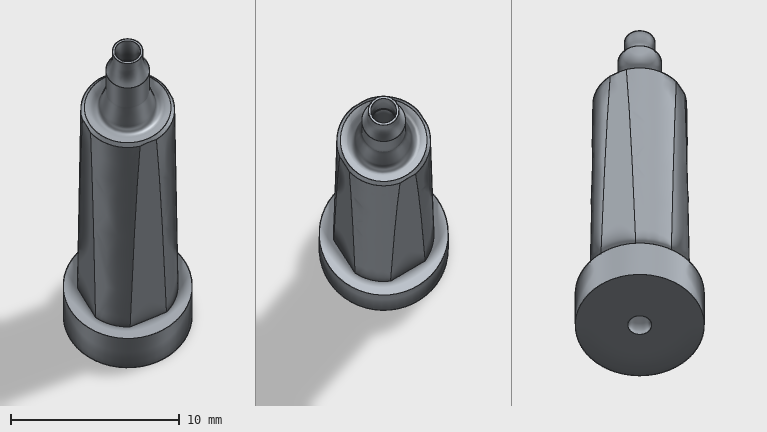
import cadquery as cq
import math

flange_diameter = 7.65
flange_height = 3.0

body_width = 5.45
flat_base_width = 2.4
flat_top_width = 1.08
body_top = 21.05
shoulder_top = 21.25
shoulder_radius = 2.56

neck_diameter = 2.6
neck_bottom = 23.0
neck_top = 25.05
cone_foot_radius = 1.67
cone_foot_height = 21.63

tip_diameter = 1.8
tip_bottom = 26.27
total_height = 27.0
bore_diameter = 1.4
mouth_diameter = 1.5
mouth_depth = total_height - neck_top


def radius_at_flat_edge(flat_width):
    """Radius of the round section whose flats have this width."""
    return math.hypot(body_width / 2, flat_width / 2)


def make_tapered_body():
    """Round body tapering upward, before the flats are cut."""
    return (
        cq.Workplane("XY", origin=(0, 0, flange_height))
        .circle(radius_at_flat_edge(flat_base_width))
        .workplane(offset=body_top - flange_height)
        .circle(radius_at_flat_edge(flat_top_width))
        .loft()
    )


def make_nozzle():
    """Revolved shoulder, blended neck and tip."""
    neck_radius = neck_diameter / 2
    tip_radius = tip_diameter / 2
    cone_run = cone_foot_radius - neck_radius
    cone_drop = neck_bottom - cone_foot_height
    cone_length = math.hypot(cone_run, cone_drop)

    tangent_length = (cone_foot_height - shoulder_top) * cone_length / cone_drop
    fillet_end_radius = cone_foot_radius + tangent_length * (1 + cone_run / cone_length)

    flare_height = tip_bottom - neck_top
    flare_run = neck_radius - tip_radius
    flare_radius = (flare_height**2 + flare_run**2) / (2 * flare_run)
    half_angle = math.atan2(flare_run, flare_height)
    flare_middle = (
        tip_radius + flare_radius * (1 - math.cos(half_angle)),
        tip_bottom - flare_radius * math.sin(half_angle),
    )

    return (
        cq.Workplane("XZ")
        .moveTo(0, body_top)
        .lineTo(radius_at_flat_edge(flat_top_width), body_top)
        .lineTo(shoulder_radius, shoulder_top)
        .lineTo(fillet_end_radius, shoulder_top)
        .tangentArcPoint((cone_foot_radius, cone_foot_height), relative=False)
        .lineTo(neck_radius, neck_bottom)
        .lineTo(neck_radius, neck_top)
        .threePointArc(flare_middle, (tip_radius, tip_bottom))
        .lineTo(tip_radius, total_height)
        .lineTo(0, total_height)
        .close()
        .revolve(360, (0, 0, 0), (0, 1, 0))
    )


def make_bore():
    """Through bore with a slightly wider mouth at the tip."""
    bore = cq.Workplane("XY").circle(bore_diameter / 2).extrude(total_height)
    mouth = (
        cq.Workplane("XY", origin=(0, 0, total_height - mouth_depth))
        .circle(mouth_diameter / 2)
        .extrude(mouth_depth)
    )
    return bore.union(mouth)


flange = cq.Workplane("XY").circle(flange_diameter / 2).extrude(flange_height)
flat_sides = cq.Workplane("XY").box(body_width, body_width, total_height, centered=(True, True, False))
upper_part = make_tapered_body().union(make_nozzle()).intersect(flat_sides)
result = flange.union(upper_part).cut(make_bore())